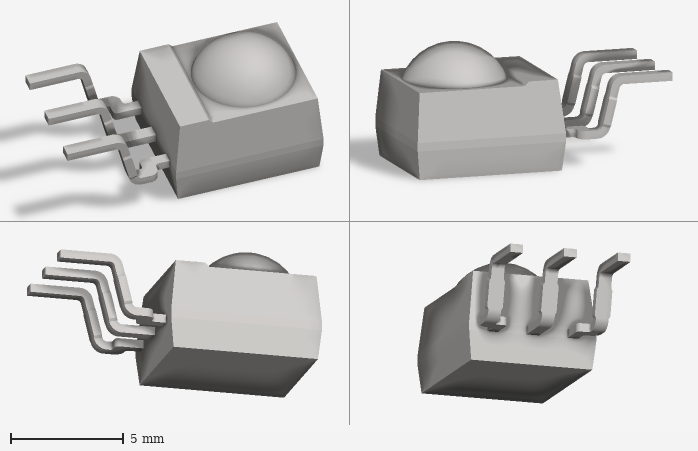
import cadquery as cq
import math


overall_length = 12.0
overall_height = 5.55

body_width = 6.0
body_depth = 6.95
lower_height = 1.33
lead_thickness = 0.38
upper_height = 2.4
lower_inset = 0.15
upper_inset = 0.29
back_inset = 0.19

band_top = lower_height + lead_thickness
body_height = band_top + upper_height

deck_drop = 0.19
ridge_back = 1.65
deck_height = body_height - deck_drop

lens_base_radius = 2.35
lens_y = 4.24
lens_rise = overall_height - deck_height
lens_radius = (lens_base_radius**2 + lens_rise**2) / (2 * lens_rise)

lead_reach = overall_length - body_depth
lead_pitch = 2.53
lead_width = 0.6
bend_start = 1.54
bend_inner_radius = 0.22
bend_angle = 76.0
bend_outer_radius = bend_inner_radius + lead_thickness

bend = math.radians(bend_angle)
lower_bend_y = -bend_start
lower_bend_z = band_top + bend_inner_radius
upper_bend_z = body_height - bend_outer_radius
radii_sum = bend_inner_radius + bend_outer_radius
leg_length = (upper_bend_z - lower_bend_z + radii_sum * math.cos(bend)) / math.sin(bend)
upper_bend_y = lower_bend_y - radii_sum * math.sin(bend) - leg_length * math.cos(bend)

wide_width = 0.73
wide_lower_taper = 0.12
wide_length = 1.15
wide_upper_taper = 0.12

root_width = 0.5
root_x = 1.9
jog_near = 0.7
jog_far = 1.3
jog_outer_radius = 0.4
root_outer_radius = 0.19
root_inner_radius = 0.18
jog_inner_radius = 0.1


def rectangle_wire(left, right, front, back, z):
    corners = [(left, front, z), (right, front, z), (right, back, z), (left, back, z)]
    return cq.Wire.makePolygon([cq.Vector(*corner) for corner in corners], close=True)


def loft_between(bottom_wire, top_wire):
    return cq.Workplane(cq.Solid.makeLoft([bottom_wire, top_wire], True))


def make_housing():
    half = body_width / 2
    underside = rectangle_wire(
        lower_inset - half, half - lower_inset, lower_inset, body_depth - lower_inset, 0
    )
    band_lower_edge = rectangle_wire(-half, half, 0, body_depth, lower_height)
    band_upper_edge = rectangle_wire(-half, half, 0, body_depth, band_top)
    top = rectangle_wire(
        upper_inset - half, half - upper_inset, upper_inset, body_depth - back_inset, body_height
    )
    housing = loft_between(underside, band_lower_edge)
    housing = housing.union(loft_between(band_lower_edge, band_upper_edge))
    housing = housing.union(loft_between(band_upper_edge, top))
    return housing.cut(make_deck_cutter()).union(make_lens())


def make_deck_cutter():
    """Everything above the deck, behind a 45 degree step down from the ridge."""
    return (
        cq.Workplane("YZ")
        .moveTo(ridge_back, body_height)
        .lineTo(ridge_back + deck_drop, deck_height)
        .lineTo(body_depth, deck_height)
        .lineTo(body_depth, body_height)
        .close()
        .extrude(body_width / 2, both=True)
    )


def make_lens():
    """Spherical cap standing on the deck."""
    sphere = cq.Workplane("XY").sphere(lens_radius).translate(
        (0, lens_y, overall_height - lens_radius)
    )
    above_deck = cq.Workplane("XY").box(
        body_width, body_depth, lens_rise, centered=(True, False, False)
    ).translate((0, 0, deck_height))
    return sphere.intersect(above_deck)


def make_shank(x):
    """Straight flat stretch from the housing to the first bend."""
    return cq.Workplane("XY").box(
        lead_width, bend_start, lead_thickness, centered=(True, False, False)
    ).translate((x, -bend_start, lower_height))


def make_jogged_shank(side):
    """Flat stretch that steps outward from the root to the lead pitch."""
    root_near_x = side * (root_x - root_width / 2)
    root_far_x = side * (root_x + root_width / 2)
    tip_near_x = side * (lead_pitch - lead_width / 2)
    tip_far_x = side * (lead_pitch + lead_width / 2)
    shank = (
        cq.Workplane("XY", origin=(0, 0, lower_height))
        .polyline([
            (root_near_x, 0),
            (root_far_x, 0),
            (root_far_x, -jog_near),
            (tip_far_x, -jog_near),
            (tip_far_x, -bend_start),
            (tip_near_x, -bend_start),
            (tip_near_x, -jog_far),
            (root_near_x, -jog_far),
        ])
        .close()
        .extrude(lead_thickness)
    )
    rounded_corners = [
        (root_far_x, -jog_near, root_inner_radius),
        (tip_far_x, -jog_near, jog_outer_radius),
        (tip_near_x, -jog_far, jog_inner_radius),
        (root_near_x, -jog_far, root_outer_radius),
    ]
    mid_height = lower_height + lead_thickness / 2
    for x, y, radius in rounded_corners:
        corner = cq.NearestToPointSelector((x, y, mid_height))
        shank = shank.edges("|Z").edges(corner).fillet(radius)
    return shank


def lower_bend_point(radius, angle):
    """Point (y, z) of the first bend, the angle counted from straight down."""
    y = lower_bend_y - radius * math.sin(angle)
    z = lower_bend_z - radius * math.cos(angle)
    return y, z


def upper_bend_point(radius, angle):
    """Point (y, z) of the second bend, the angle counted from straight up."""
    y = upper_bend_y + radius * math.sin(angle)
    z = upper_bend_z + radius * math.cos(angle)
    return y, z


def make_bent_strip(x):
    """First bend, rising leg, second bend and the level tip, in one strip."""
    inner = bend_inner_radius
    outer = bend_outer_radius
    return (
        cq.Workplane("YZ", origin=(x, 0, 0))
        .moveTo(*lower_bend_point(outer, 0))
        .threePointArc(lower_bend_point(outer, bend / 2), lower_bend_point(outer, bend))
        .lineTo(*upper_bend_point(inner, bend))
        .threePointArc(upper_bend_point(inner, bend / 2), upper_bend_point(inner, 0))
        .lineTo(-lead_reach, body_height - lead_thickness)
        .lineTo(-lead_reach, body_height)
        .lineTo(*upper_bend_point(outer, 0))
        .threePointArc(upper_bend_point(outer, bend / 2), upper_bend_point(outer, bend))
        .lineTo(*lower_bend_point(inner, bend))
        .threePointArc(lower_bend_point(inner, bend / 2), lower_bend_point(inner, 0))
        .close()
        .extrude(lead_width / 2, both=True)
    )


def make_wide_leg(x):
    """Wider stretch of the rising leg, tapered at both ends."""
    leg_y, leg_z = lower_bend_point(bend_inner_radius, bend)
    leg_plane = cq.Plane(
        origin=(x, leg_y, leg_z),
        xDir=(1, 0, 0),
        normal=(0, -math.sin(bend), -math.cos(bend)),
    )
    wide_end = wide_lower_taper + wide_length
    taper_end = wide_end + wide_upper_taper
    return (
        cq.Workplane(leg_plane)
        .polyline([
            (-lead_width / 2, 0),
            (lead_width / 2, 0),
            (wide_width / 2, wide_lower_taper),
            (wide_width / 2, wide_end),
            (lead_width / 2, taper_end),
            (-lead_width / 2, taper_end),
            (-wide_width / 2, wide_end),
            (-wide_width / 2, wide_lower_taper),
        ])
        .close()
        .extrude(lead_thickness)
    )


def make_lead(side):
    """Lead at side -1 (left), 0 (middle) or 1 (right)."""
    x = side * lead_pitch
    shank = make_jogged_shank(side) if side else make_shank(x)
    return shank.union(make_bent_strip(x)).union(make_wide_leg(x))


housing = make_housing()
leads = [make_lead(side) for side in (-1, 0, 1)]

result = cq.Compound.makeCompound([housing.val(), *[lead.val() for lead in leads]])